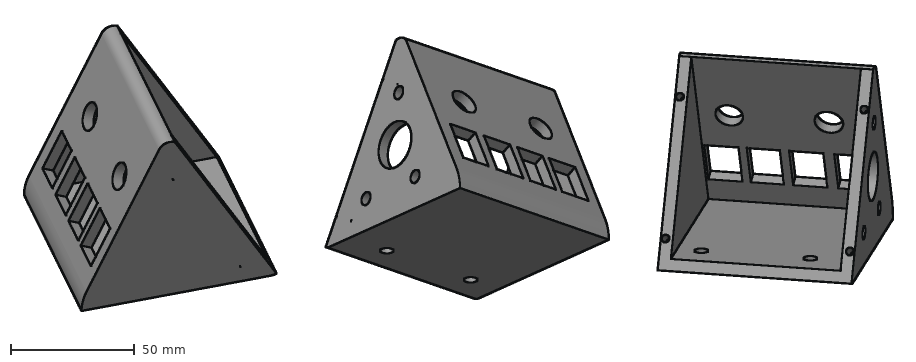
import cadquery as cq
import math

WIDTH = 80.0
DEPTH = 82.3
HEIGHT = 78.0
WALL = 5.0

FRONT_ANGLE = 65.0
FOOT_HEIGHT = 4.9
EDGE_RADIUS = WALL
HEEL_ANGLE = 30.0

WINDOWS = [(13.7, 13.6), (32.0, 14.1), (49.7, 13.6), (67.0, 14.1)]
WINDOW_BOTTOM = 17.3
WINDOW_TOP = 34.65

PANEL_HOLES = [(21.1, 11.7), (62.1, 11.3)]
PANEL_HOLE_HEIGHT = 50.85

CABLE_HOLE_CENTRE = (39.8, 31.9)
CABLE_HOLE_DIAMETER = 20.0
MOUNT_HOLE_CENTRES = [(37.5, 54.1), (57.5, 14.0), (27.5, 14.0)]
MOUNT_HOLE_DIAMETER = 5.5

FLOOR_HOLE_CENTRES = [20.0, 65.0]
FLOOR_HOLE_Y = 67.6
FLOOR_HOLE_DIAMETER = 5.5

SCREW_DIAMETER = 3.1
SCREW_INSET = 2.0
SCREW_DEPTH = 10.0
SCREW_Y = [75.9, 47.5]


def polar(centre, radius, degrees):
    """Point on a circle in the YZ plane, measured from +Y towards +Z."""
    angle = math.radians(degrees)
    return centre[0] + radius * math.cos(angle), centre[1] + radius * math.sin(angle)


def front_y(z):
    """Y of the outer front panel plane at height z."""
    return (z - FOOT_HEIGHT) / math.tan(math.radians(FRONT_ANGLE))


FRONT_TILT = 90 - FRONT_ANGLE
FRONT_NORMAL = 180 - FRONT_TILT

foot_radius = FOOT_HEIGHT / math.tan(math.radians(FRONT_TILT / 2))
foot_centre = (foot_radius, 0)
foot_top = polar(foot_centre, foot_radius, FRONT_NORMAL)
foot_middle = polar(foot_centre, foot_radius, 180 - FRONT_TILT / 2)

ridge_z = HEIGHT - EDGE_RADIUS
ridge_y = front_y(ridge_z) + EDGE_RADIUS / math.sin(math.radians(FRONT_ANGLE))
ridge_centre = (ridge_y, ridge_z)
ridge_front = polar(ridge_centre, EDGE_RADIUS, FRONT_NORMAL)
ridge_top = (ridge_y, HEIGHT)
ridge_back = polar(ridge_centre, EDGE_RADIUS, FRONT_ANGLE)

heel_centre = (DEPTH - EDGE_RADIUS * math.sin(math.radians(HEEL_ANGLE)), EDGE_RADIUS)
heel_back = polar(heel_centre, EDGE_RADIUS, HEEL_ANGLE - 90)
heel_middle = polar(heel_centre, EDGE_RADIUS, HEEL_ANGLE / 2 - 90)
heel_bottom = (heel_centre[0], 0)

back_angle = math.atan2(ridge_back[1] - heel_back[1], heel_back[0] - ridge_back[0])


def back_z(y):
    """Height of the back plane at y."""
    return heel_back[1] + (heel_back[0] - y) * math.tan(back_angle)


def make_body():
    return (
        cq.Workplane("YZ")
        .moveTo(0, 0)
        .threePointArc(foot_middle, foot_top)
        .lineTo(*ridge_front)
        .threePointArc(ridge_top, ridge_back)
        .lineTo(*heel_back)
        .threePointArc(heel_middle, heel_bottom)
        .close()
        .extrude(WIDTH)
    )


def make_cavity():
    """Prism inside the walls, open through the back and closing to an edge at the ridge."""
    overshoot = WALL
    panel_run = WALL / math.sin(math.radians(FRONT_ANGLE))
    outline = [
        (front_y(WALL) + panel_run, WALL),
        ridge_back,
        (ridge_back[0] + overshoot, ridge_back[1]),
        (DEPTH + overshoot, WALL),
    ]
    return (
        cq.Workplane("YZ", origin=(WALL, 0, 0))
        .polyline(outline)
        .close()
        .extrude(WIDTH - 2 * WALL)
    )


def front_plane(x, z):
    """Workplane on the front panel; local Y climbs the slope, normal points outwards."""
    angle = math.radians(FRONT_NORMAL)
    normal = (0, math.cos(angle), math.sin(angle))
    return cq.Workplane(cq.Plane(origin=(x, front_y(z), z), xDir=(1, 0, 0), normal=normal))


def cut_front_panel(part):
    window_z = (WINDOW_BOTTOM + WINDOW_TOP) / 2
    window_length = (WINDOW_TOP - WINDOW_BOTTOM) / math.sin(math.radians(FRONT_ANGLE))
    for x, width in WINDOWS:
        part = part.cut(front_plane(x, window_z).rect(width, window_length).extrude(-WALL))
    for x, diameter in PANEL_HOLES:
        part = part.cut(front_plane(x, PANEL_HOLE_HEIGHT).circle(diameter / 2).extrude(-WALL))
    return part


def cut_end_wall(part):
    wall = cq.Workplane("YZ")
    cable_hole = wall.moveTo(*CABLE_HOLE_CENTRE).circle(CABLE_HOLE_DIAMETER / 2).extrude(WALL)
    mount_holes = wall.pushPoints(MOUNT_HOLE_CENTRES).circle(MOUNT_HOLE_DIAMETER / 2).extrude(WALL)
    return part.cut(cable_hole).cut(mount_holes)


def cut_floor(part):
    centres = [(x, FLOOR_HOLE_Y) for x in FLOOR_HOLE_CENTRES]
    holes = cq.Workplane("XY").pushPoints(centres).circle(FLOOR_HOLE_DIAMETER / 2).extrude(WALL)
    return part.cut(holes)


def cut_screw_holes(part):
    inward = cq.Vector(0, -math.sin(back_angle), -math.cos(back_angle))
    for x in (SCREW_INSET, WIDTH - SCREW_INSET):
        for y in SCREW_Y:
            mouth = cq.Vector(x, y, back_z(y))
            part = part.cut(cq.Solid.makeCylinder(SCREW_DIAMETER / 2, SCREW_DEPTH, mouth, inward))
    return part


result = make_body().cut(make_cavity())
result = cut_front_panel(result)
result = cut_end_wall(result)
result = cut_floor(result)
result = cut_screw_holes(result)